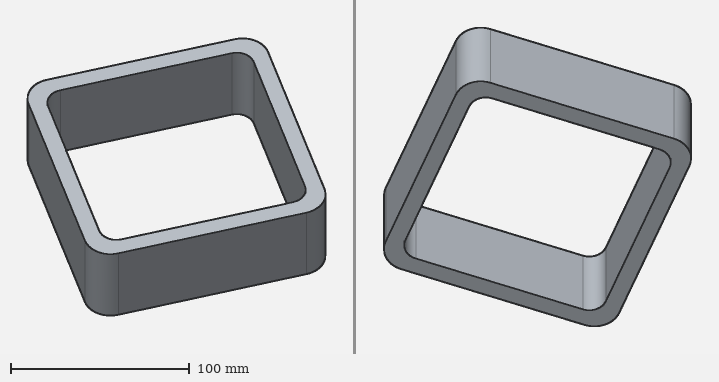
import cadquery as cq

side = 140.0
height = 50.0
wall = 10.0
outer_radius = 15.0
inner_radius = 10.0

opening = side - 2 * wall


def rounded_block(width, corner_radius):
    """Square block with rounded vertical edges, standing on the XY plane."""
    block = cq.Workplane("XY").rect(width, width).extrude(height)
    return block.edges("|Z").fillet(corner_radius)


result = rounded_block(side, outer_radius).cut(rounded_block(opening, inner_radius))